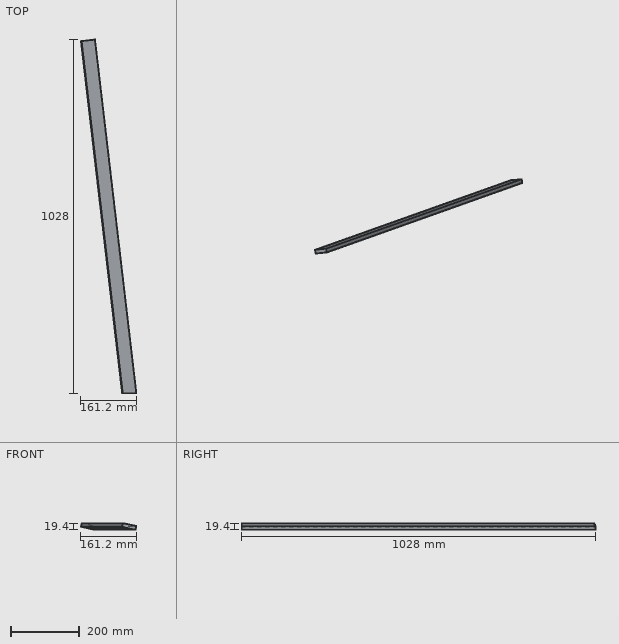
import cadquery as cq
import math

overall_length = 1028.0
sideways_run = 120.0
bar_width = 40.0
bar_thickness = 11.0
roll_angle = 12.5

lean_angle = math.degrees(math.atan2(sideways_run, overall_length))
edge_length = math.hypot(overall_length, sideways_run)
end_allowance = bar_width


def rolled_bar():
    """Rectangular bar along Y with its upper +X edge on the Y axis, rolled about that edge."""
    stock = cq.Workplane("XY").box(
        bar_width, edge_length + end_allowance, bar_thickness, centered=False
    )
    stock = stock.translate((-bar_width, -end_allowance, -bar_thickness))
    return stock.rotate((0, 0, 0), (0, 1, 0), roll_angle)


def near_end_cutter():
    """Block filling the space below Y = 0, large enough to cover the surplus stock."""
    size = 4 * end_allowance
    return cq.Workplane("XY").box(size, size, size).translate((0, -size / 2, 0))


leaning_bar = rolled_bar().rotate((0, 0, 0), (0, 0, 1), lean_angle)
result = leaning_bar.cut(near_end_cutter())